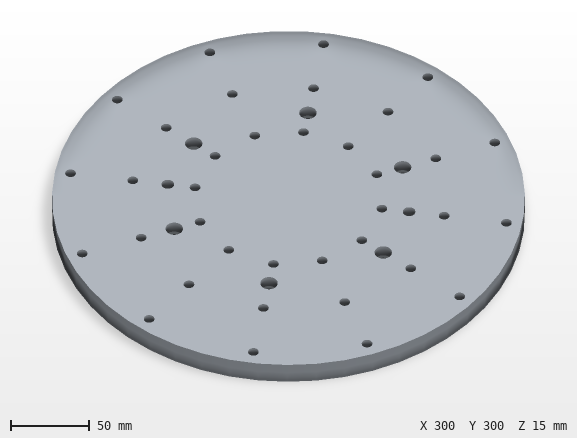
import cadquery as cq

plate_diameter = 300.0
plate_thickness = 15.0

ring_hole_diameter = 6.8
ring_radii = (60.0, 100.0, 140.0)
holes_per_ring = 12

mounting_radius = 77.5
screw_hole_count = 6
screw_hole_diameter = 6.6
counterbore_diameter = 11.0
counterbore_depth = 8.0
screw_start_angle = 30.0

dowel_hole_count = 2
dowel_hole_diameter = 8.0
dowel_start_angle = 60.0


def on_circle(plate, radius, count, start_angle=0.0):
    """Select evenly spaced points on a circle about the plate axis, on the top face."""
    top_face = plate.faces(">Z").workplane(origin=(0, 0, plate_thickness))
    return top_face.polarArray(radius, start_angle, 360, count)


def make_plate():
    return cq.Workplane("XY").circle(plate_diameter / 2).extrude(plate_thickness)


def drill_hole_rings(plate):
    for radius in ring_radii:
        plate = on_circle(plate, radius, holes_per_ring).hole(ring_hole_diameter)
    return plate


def drill_screw_holes(plate):
    points = on_circle(plate, mounting_radius, screw_hole_count, screw_start_angle)
    return points.cboreHole(screw_hole_diameter, counterbore_diameter, counterbore_depth)


def drill_dowel_holes(plate):
    points = on_circle(plate, mounting_radius, dowel_hole_count, dowel_start_angle)
    return points.hole(dowel_hole_diameter)


result = make_plate()
result = drill_hole_rings(result)
result = drill_screw_holes(result)
result = drill_dowel_holes(result)